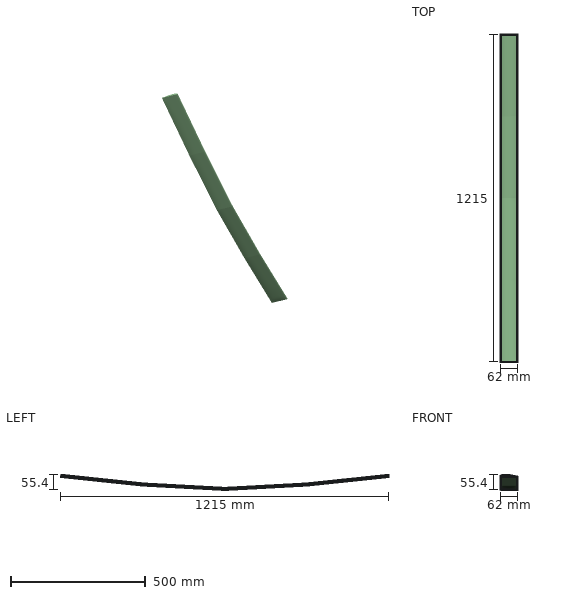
import cadquery as cq
import math

span = 1215.0
chord = 62.0
thickness = 7.0
inner_dihedral = 3.1
outer_dihedral = 6.0

nose_height = 0.3
trailing_edge_height = 0.04

upper_surface = [(0.025, 0.56), (0.1, 0.82), (0.2, 0.97), (0.35, 1.0), (0.6, 0.78), (0.8, 0.45)]
lower_surface = [(0.025, 0.125), (0.075, 0.03), (0.2, 0), (0.4, 0), (0.7, 0), (1, 0)]

inner = math.radians(inner_dihedral)
outer = math.radians(outer_dihedral)
panel_length = span / 2 / (math.cos(inner) + math.cos(outer))
break_y = panel_length * math.cos(inner)
break_z = panel_length * math.sin(inner)
tip_y = span / 2
tip_z = break_z + panel_length * math.sin(outer)


def section_point(fractions):
    """Place an aerofoil point with mid-chord at X = 0 and the flat bottom at height 0."""
    along, height = fractions
    return ((along - 0.5) * chord, height * thickness)


def section_wire(y, z, tilt):
    """Aerofoil section on the right half, its plane leaning inward by tilt at the top."""
    normal = (0, -math.cos(tilt), -math.sin(tilt))
    plane = cq.Plane(origin=(0, y, z), xDir=(1, 0, 0), normal=normal)
    nose = (0, nose_height)
    upper = [section_point(p) for p in [(1, trailing_edge_height)] + upper_surface[::-1]]
    lower = [section_point(p) for p in lower_surface]
    return (
        cq.Workplane(plane)
        .moveTo(*upper[0])
        .spline(upper[1:] + [section_point(nose)] + lower, includeCurrent=True)
        .close()
        .val()
    )


def panel(start, end):
    """Straight panel between two sections."""
    return cq.Workplane(cq.Solid.makeLoft([start, end], True))


centre_section = section_wire(0, 0, 0)
break_section = section_wire(break_y, break_z, (inner + outer) / 2)
tip_section = section_wire(tip_y, tip_z, outer)

half_wing = panel(centre_section, break_section).union(panel(break_section, tip_section))
result = half_wing.union(half_wing.mirror("XZ"))